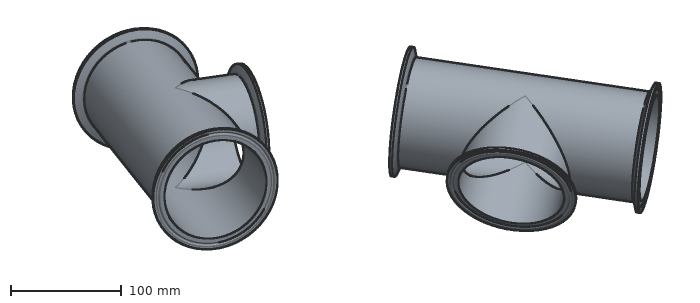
import cadquery as cq
import math


run_length = 228.5
branch_reach = 70.0
tube_diameter = 101.5
bore_diameter = 97.4

flange_diameter = 118.9
rim_thickness = 2.7
clamp_angle = 20.0
root_fillet = 1.1

groove_diameter = 110.0
groove_floor_radius = 1.4
groove_depth = 1.1
groove_lip_radius = 0.57

tube_radius = tube_diameter / 2
bore_radius = bore_diameter / 2
flange_radius = flange_diameter / 2
groove_radius = groove_diameter / 2
half_run = run_length / 2
back_length = (flange_radius - tube_radius) * math.tan(math.radians(clamp_angle))
root_position = rim_thickness + back_length


def end_plane(direction, reach):
    """Plane on an end face, with its local y axis pointing out of the fitting."""
    origin = tuple(reach * component for component in direction)
    return cq.Plane(origin=origin, xDir=(0, 0, 1), normal=cq.Vector(0, 0, 1).cross(cq.Vector(*direction)))


def revolve_about_end_axis(profile):
    """Turn a profile (radius, height above the end face) about the end's axis."""
    return profile.close().revolve(360, (0, 0), (0, 1))


def outer_leg(direction, reach):
    """Solid tube from the run centre to an end face, with its ferrule flange."""
    profile = (
        cq.Workplane(end_plane(direction, reach))
        .lineTo(flange_radius, 0)
        .lineTo(flange_radius, -rim_thickness)
        .lineTo(tube_radius, -root_position)
        .lineTo(tube_radius, -reach)
        .lineTo(0, -reach)
    )
    leg = revolve_about_end_axis(profile)
    root_point = tuple((reach - root_position) * component for component in direction)
    root_edge = cq.selectors.NearestToPointSelector(root_point)
    return leg.edges("%CIRCLE").edges(root_edge).fillet(root_fillet)


def bore(direction, reach):
    """Cylinder that hollows a leg from the run centre to its end face."""
    profile = (
        cq.Workplane(end_plane(direction, reach))
        .lineTo(bore_radius, 0)
        .lineTo(bore_radius, -reach)
        .lineTo(0, -reach)
    )
    return revolve_about_end_axis(profile)


def gasket_groove(direction, reach):
    """Round-bottomed ring with rounded mouth edges, cut into an end face."""
    floor_center_height = groove_floor_radius - groove_depth
    center_distance = groove_floor_radius + groove_lip_radius
    center_drop = floor_center_height + groove_lip_radius
    mouth_half_width = math.sqrt(center_distance**2 - center_drop**2)

    floor_share = groove_floor_radius / center_distance
    tangent_offset = mouth_half_width * floor_share
    tangent_height = floor_center_height - center_drop * floor_share

    lip_middle_angle = (math.pi / 2 + math.asin(center_drop / center_distance)) / 2
    lip_middle_offset = mouth_half_width - groove_lip_radius * math.cos(lip_middle_angle)
    lip_middle_height = groove_lip_radius * (math.sin(lip_middle_angle) - 1)

    profile = (
        cq.Workplane(end_plane(direction, reach))
        .moveTo(groove_radius - mouth_half_width, 0)
        .threePointArc(
            (groove_radius - lip_middle_offset, lip_middle_height),
            (groove_radius - tangent_offset, tangent_height),
        )
        .threePointArc(
            (groove_radius, -groove_depth),
            (groove_radius + tangent_offset, tangent_height),
        )
        .threePointArc(
            (groove_radius + lip_middle_offset, lip_middle_height),
            (groove_radius + mouth_half_width, 0),
        )
    )
    return revolve_about_end_axis(profile)


left_end = ((-1, 0, 0), half_run)
right_end = ((1, 0, 0), half_run)
branch_end = ((0, 1, 0), branch_reach)
ends = [left_end, right_end, branch_end]

body = outer_leg(*left_end)
for end in [right_end, branch_end]:
    body = body.union(outer_leg(*end))
body = body.clean()

for end in ends:
    body = body.cut(bore(*end))
    body = body.cut(gasket_groove(*end))

result = body.clean()